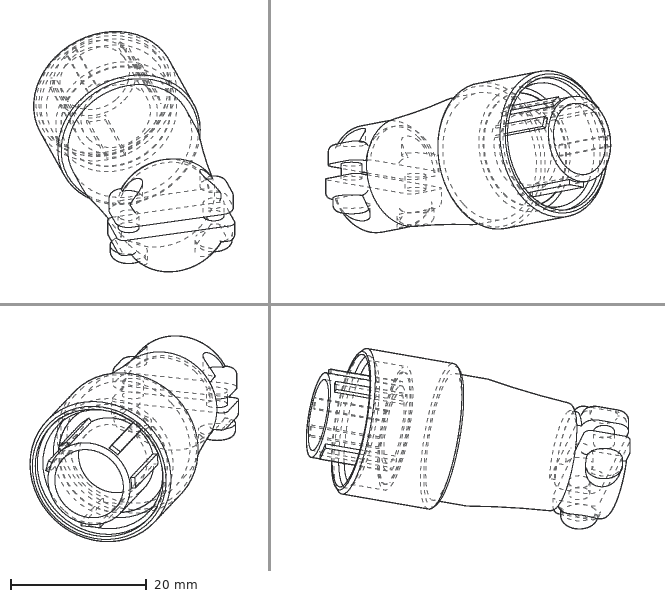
import cadquery as cq
import math


plug_radius = 6.35
plug_bore_radius = 5.3
key_radius = 6.95
key_start = 0.65
main_key_width = 2.9
side_key_width = 1.6
side_key_angles = (5.5, 55.5, 128.5, 164.5)
main_key_angle = 270

sleeve_start = 5.0
sleeve_end = 19.25
sleeve_radius = 10.9
front_chamfer = 0.55
rear_chamfer = 0.4
mouth_radius = 9.9
mouth_depth = 1.0
sleeve_bore_radius = 9.25
mouth_taper_length = 0.65
floor_x = 11.8
shoulder_radius = 8.4
shoulder_height = 0.2

shell_radius = 9.5
taper_start = 24.4
shell_end = 37.5
shell_end_radius = 8.1
shell_end_fillet = 0.75
taper_sag = 0.15

clamp_start = 38.4
clamp_end = 45.5
clamp_radius = 8.0
clamp_half_gap = 1.05
clamp_half_width = 9.0
ear_height = 4.05
neck_radius = 7.0
saddle_fillet = 1.05
ear_edge_fillet = 1.0
upper_ear_corner = 2.0
lower_ear_corner = 1.05

screw_offset = 6.5
screw_radius = 1.55
tip_pocket_radius = 2.05
head_radius = 2.75
head_bottom = 6.05
head_fillet = 1.0

clamp_length = clamp_end - clamp_start
clamp_middle = (clamp_start + clamp_end) / 2


def x_cylinder(radius, start, end):
    """Solid cylinder on the connector axis between two X positions."""
    return cq.Workplane("YZ", origin=(start, 0, 0)).circle(radius).extrude(end - start)


def z_cylinder(radius, y, bottom, top):
    """Upright cylinder at the middle of the clamp length."""
    plane = cq.Workplane("XY", origin=(clamp_middle, y, bottom))
    return plane.circle(radius).extrude(top - bottom)


def make_body():
    """Sleeve and backshell as one revolved profile, closed at the rear."""
    taper_end = shell_end - shell_end_fillet
    taper_middle = (taper_start + taper_end) / 2
    taper_middle_radius = (shell_radius + shell_end_radius) / 2 - taper_sag
    corner_offset = shell_end_fillet * math.sqrt(0.5)
    corner_x = taper_end + corner_offset
    corner_radius = shell_end_radius - shell_end_fillet + corner_offset
    taper_bore_x = sleeve_start + mouth_depth
    profile = (
        cq.Workplane("XY")
        .moveTo(floor_x, 0)
        .lineTo(floor_x - shoulder_height, 0)
        .lineTo(floor_x - shoulder_height, shoulder_radius)
        .lineTo(floor_x, shoulder_radius)
        .lineTo(floor_x, sleeve_bore_radius)
        .lineTo(taper_bore_x + mouth_taper_length, sleeve_bore_radius)
        .lineTo(taper_bore_x, mouth_radius)
        .lineTo(sleeve_start, mouth_radius)
        .lineTo(sleeve_start, sleeve_radius - front_chamfer)
        .lineTo(sleeve_start + front_chamfer, sleeve_radius)
        .lineTo(sleeve_end - rear_chamfer, sleeve_radius)
        .lineTo(sleeve_end, sleeve_radius - rear_chamfer)
        .lineTo(sleeve_end, shell_radius)
        .lineTo(taper_start, shell_radius)
        .threePointArc((taper_middle, taper_middle_radius), (taper_end, shell_end_radius))
        .threePointArc((corner_x, corner_radius), (shell_end, shell_end_radius - shell_end_fillet))
        .lineTo(shell_end, 0)
        .close()
    )
    return profile.revolve(360, (0, 0, 0), (1, 0, 0))


def make_key(angle, width):
    """Raised key along the plug barrel at an angle from -Y towards +Z."""
    root_radius = (plug_radius + plug_bore_radius) / 2
    key = cq.Workplane("XY").box(
        floor_x - key_start, key_radius - root_radius, width, centered=(False, False, True)
    )
    key = key.translate((key_start, root_radius, 0))
    return key.rotate((0, 0, 0), (1, 0, 0), 180 - angle)


def make_plug():
    """Hollow plug barrel with one wide key and four narrow ones."""
    plug = x_cylinder(plug_radius, 0, floor_x)
    plug = plug.union(make_key(main_key_angle, main_key_width))
    for angle in side_key_angles:
        plug = plug.union(make_key(angle, side_key_width))
    return plug


def make_saddle(corner_radius):
    """Half saddle with two ears, lying above the parting gap."""
    saddle = x_cylinder(clamp_radius, clamp_start, clamp_end)
    saddle = saddle.edges("%CIRCLE").fillet(saddle_fillet)
    ears = cq.Workplane("XY", origin=(clamp_middle, 0, clamp_half_gap))
    ears = ears.rect(clamp_length, 2 * clamp_half_width).extrude(ear_height - clamp_half_gap)
    ears = ears.edges("|Z").fillet(corner_radius)
    ears = ears.faces(">Z").edges().fillet(ear_edge_fillet)
    upper_side = cq.Workplane("XY", origin=(clamp_middle, 0, clamp_half_gap))
    upper_side = upper_side.rect(clamp_length, 2 * clamp_radius).extrude(clamp_radius)
    return saddle.intersect(upper_side).union(ears)


def make_upper_saddle():
    """Upper saddle, with pockets above the screw ends and the neck to the shell."""
    neck = x_cylinder(neck_radius, shell_end, clamp_middle)
    upper_side = cq.Workplane("XY", origin=(clamp_middle, 0, clamp_half_gap))
    upper_side = upper_side.rect(2 * clamp_length, 2 * neck_radius).extrude(neck_radius)
    saddle = make_saddle(upper_ear_corner).union(neck.intersect(upper_side))
    for side in (-1, 1):
        pocket = z_cylinder(tip_pocket_radius, side * screw_offset, ear_height, clamp_radius)
        saddle = saddle.cut(pocket)
    return saddle


def make_lower_saddle():
    """Lower saddle, with pockets that clear the screw heads."""
    saddle = make_saddle(lower_ear_corner).mirror("XY")
    for side in (-1, 1):
        pocket = z_cylinder(head_radius, side * screw_offset, -clamp_radius, -ear_height)
        saddle = saddle.cut(pocket)
    return saddle


def make_screw(y):
    """Screw bridging the parting gap, with a rounded head underneath."""
    head = z_cylinder(head_radius, y, -head_bottom, -ear_height)
    head = head.faces("<Z").edges().fillet(head_fillet)
    shank = z_cylinder(screw_radius, y, -ear_height, clamp_half_gap)
    return head.union(shank)


plug_bore = x_cylinder(plug_bore_radius, 0, floor_x - shoulder_height)

result = make_body().union(make_plug()).cut(plug_bore)
result = result.union(make_upper_saddle()).union(make_lower_saddle())
for screw_side in (-1, 1):
    result = result.union(make_screw(screw_side * screw_offset))